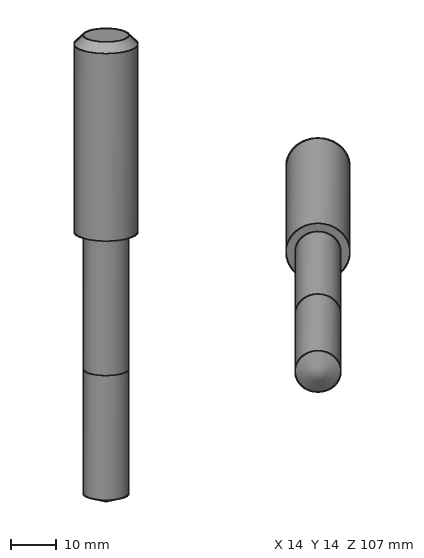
import cadquery as cq

total_length = 107.0
head_diameter = 14.0
stem_diameter = 10.1

head_length = 45.0
head_chamfer = 2.0
neck_length = 31.5
point_length = 1.9

top_z = total_length / 2
shoulder_z = top_z - head_length
joint_z = shoulder_z - neck_length
point_tip_z = -total_length / 2
point_base_z = point_tip_z + point_length


def make_holder():
    """Chamfered head with a narrower neck below it."""
    head = (
        cq.Workplane("XY", origin=(0, 0, shoulder_z))
        .circle(head_diameter / 2)
        .extrude(head_length)
        .faces(">Z")
        .chamfer(head_chamfer)
    )
    neck = (
        cq.Workplane("XY", origin=(0, 0, joint_z))
        .circle(stem_diameter / 2)
        .extrude(neck_length)
    )
    return head.union(neck)


def make_tip():
    """Cylindrical tip, flush with the neck, ending in a shallow conical point."""
    radius = stem_diameter / 2
    return (
        cq.Workplane("XZ")
        .moveTo(0, joint_z)
        .lineTo(radius, joint_z)
        .lineTo(radius, point_base_z)
        .lineTo(0, point_tip_z)
        .close()
        .revolve(360, (0, 0, 0), (0, 1, 0))
    )


holder = make_holder()
tip = make_tip()

result = cq.Compound.makeCompound([holder.val(), tip.val()])